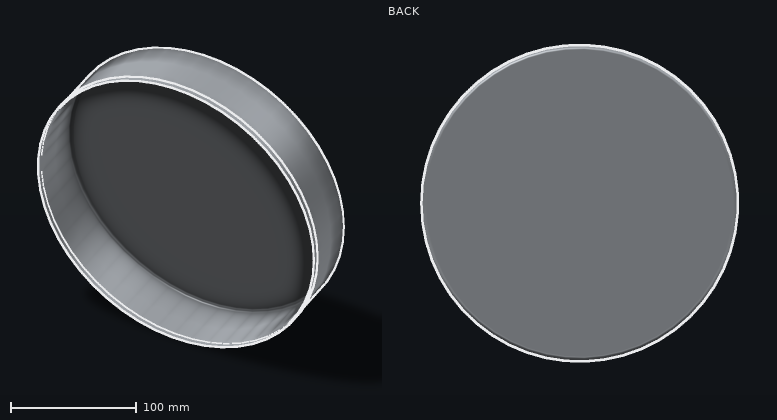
import cadquery as cq

rim_diameter = 253.0
rim_bore_diameter = 252.0
body_diameter = 251.5
bore_diameter = 250.5
height = 52.0
rim_height = 5.3
corner_radius = 3.5

sheet = (body_diameter - bore_diameter) / 2
inner_corner_radius = corner_radius - sheet

fold_radius = (rim_diameter - bore_diameter) / 4
gap_radius = (rim_bore_diameter - body_diameter) / 4
fold_center = (rim_diameter + bore_diameter) / 4


def disc(diameter, start, end):
    """Solid disc around the Y axis between two Y positions."""
    return cq.Workplane("XZ", origin=(0, start, 0)).circle(diameter / 2).extrude(start - end)


def pan():
    """Round pan, open toward -Y, with a rounded edge around its floor."""
    outside = disc(body_diameter, fold_radius, height)
    outside = outside.faces(">Y").edges().fillet(corner_radius)
    inside = disc(bore_diameter, fold_radius, height - sheet)
    inside = inside.faces(">Y").edges().fillet(inner_corner_radius)
    return outside.cut(inside)


def folded_rim():
    """Hem at the open end: a half-round fold and a short outer skirt."""
    profile = (
        cq.Workplane("XY")
        .moveTo(bore_diameter / 2, fold_radius)
        .threePointArc((fold_center, 0), (rim_diameter / 2, fold_radius))
        .lineTo(rim_diameter / 2, rim_height)
        .lineTo(rim_bore_diameter / 2, rim_height)
        .lineTo(rim_bore_diameter / 2, fold_radius)
        .threePointArc((fold_center, fold_radius - gap_radius), (body_diameter / 2, fold_radius))
        .close()
    )
    return profile.revolve(360, (0, 0, 0), (0, 1, 0))


result = pan().union(folded_rim())